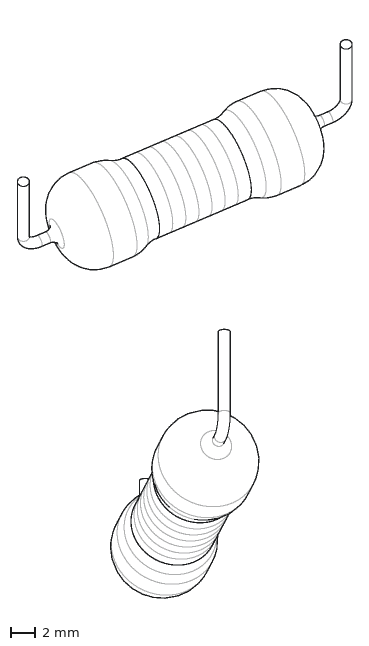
import cadquery as cq
import math

overall_length = 31.0
lead_top = 8.8

cap_radius = 4.2
cap_corner_radius = 3.0
body_length = 23.8
waist_radius = 3.55
band_radius = 3.58
band_width = 1.218
waist_band_count = 7

lead_radius = 0.5
bend_radius = 1.5
lead_fillet_radius = 0.85

body_end = body_length / 2
waist_end = waist_band_count * band_width / 2
flare_middle = waist_end + band_width
flare_end = flare_middle + band_width
corner_start = body_end - cap_corner_radius
flare_middle_radius = (waist_radius + cap_radius) / 2
lead_y = overall_length / 2 - lead_radius


def make_half_body():
    """Revolve the +Y half: waist, S-shaped flare, rounded cap and the fillet onto the lead."""
    corner_center_radius = cap_radius - cap_corner_radius
    fillet_center_radius = lead_radius + lead_fillet_radius
    center_distance = cap_corner_radius + lead_fillet_radius
    radial_offset = fillet_center_radius - corner_center_radius
    lean = math.asin(radial_offset / center_distance)
    fillet_center_y = corner_start + center_distance * math.cos(lean)
    touch_point = (
        corner_center_radius + cap_corner_radius * math.sin(lean),
        corner_start + cap_corner_radius * math.cos(lean),
    )
    half_turn = (math.pi / 2 + lean) / 2
    corner_middle = (
        corner_center_radius + cap_corner_radius * math.sin(half_turn),
        corner_start + cap_corner_radius * math.cos(half_turn),
    )
    fillet_middle = (
        fillet_center_radius - lead_fillet_radius * math.sin(half_turn),
        fillet_center_y - lead_fillet_radius * math.cos(half_turn),
    )
    return (
        cq.Workplane("XY")
        .lineTo(waist_radius, 0)
        .lineTo(waist_radius, waist_end)
        .tangentArcPoint((flare_middle_radius, flare_middle), relative=False)
        .tangentArcPoint((cap_radius, flare_end), relative=False)
        .lineTo(cap_radius, corner_start)
        .threePointArc(corner_middle, touch_point)
        .threePointArc(fillet_middle, (lead_radius, fillet_center_y))
        .lineTo(0, fillet_center_y)
        .close()
        .revolve(360, (0, 0, 0), (0, 1, 0))
    )


def make_band(center_y):
    """Colour band standing slightly proud of the waist."""
    return (
        cq.Workplane("XZ", origin=(0, center_y + band_width / 2, 0))
        .circle(band_radius)
        .extrude(band_width)
    )


def make_lead():
    """Round wire leaving the +Y end of the body and bending up to vertical."""
    bend_start = lead_y - bend_radius
    bend_offset = bend_radius * math.sin(math.pi / 4)
    path = (
        cq.Workplane("YZ")
        .moveTo(corner_start, 0)
        .lineTo(bend_start, 0)
        .threePointArc((bend_start + bend_offset, bend_radius - bend_offset), (lead_y, bend_radius))
        .lineTo(lead_y, lead_top)
    )
    return cq.Workplane("XZ", origin=(0, corner_start, 0)).circle(lead_radius).sweep(path)


half = make_half_body().union(make_lead())
result = half.union(half.mirror("XZ"))

for index in range(waist_band_count):
    band_center = (index - (waist_band_count - 1) / 2) * band_width
    result = result.union(make_band(band_center), clean=False)